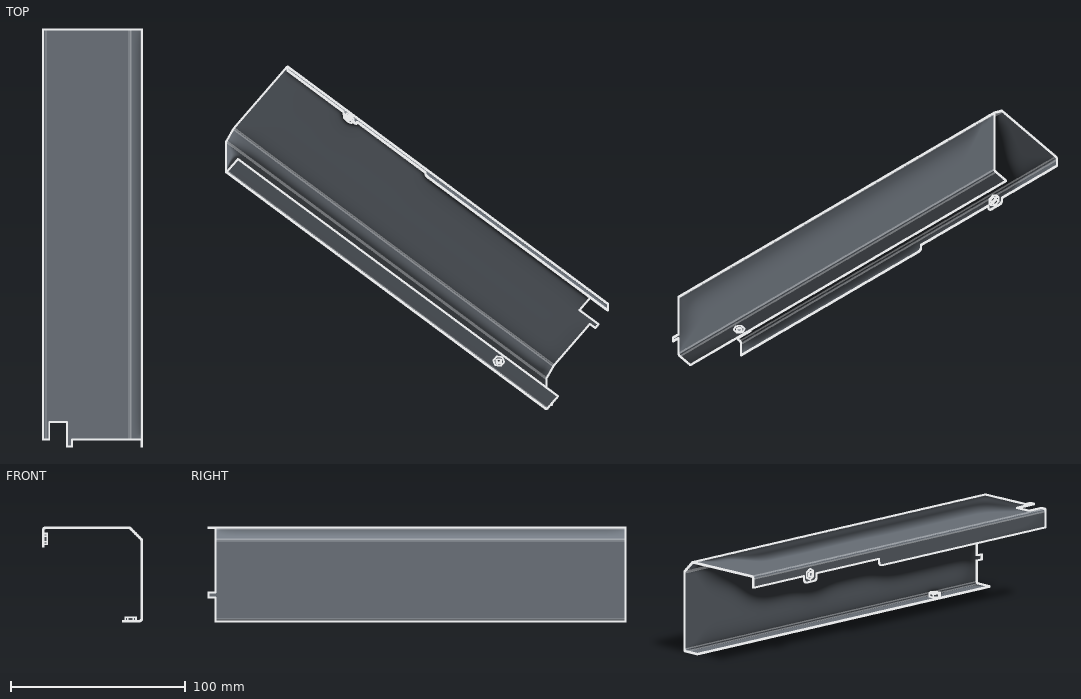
import cadquery as cq
import math

width = 56.8
height = 53.97
body_length = 235.0
sheet = 0.5
bend_radius = 1.5
chamfer_leg = 6.95
lip_depth = 11.0

tab_length = 4.0
tab_width = 3.0
tab_start = 13.7
notch_width = 10.0
notch_depth = 10.0

relief_length = 101.2
relief_lip_depth = 6.8
ear_width = 10.0
ear_corner_radius = 2.0

screw_diameter = 3.0
nut_sides = 6
nut_across_flats = 5.5
nut_height = 2.0
screw_edge_distance = 6.6
ear_screw_from_rear = 45.9
base_screw_from_front = 40.0

nut_across_corners = nut_across_flats / math.cos(math.pi / nut_sides)
ear_screw_y = body_length - ear_screw_from_rear


def box(x_range, y_range, z_range):
    """Axis-aligned box spanning the given (low, high) ranges."""
    spans = (x_range, y_range, z_range)
    size = [high - low for low, high in spans]
    corner = tuple(low for low, high in spans)
    return cq.Workplane("XY").box(*size, centered=False).translate(corner)


def bent_envelope(inset):
    """Solid bounded by the folded sheet, with its faces moved inwards by inset."""
    leg = chamfer_leg - inset * (2 - math.sqrt(2))
    right = width - inset
    top = height - inset
    return (
        cq.Workplane("XZ")
        .moveTo(inset, inset)
        .lineTo(right, inset)
        .lineTo(right, top - leg)
        .lineTo(right - leg, top)
        .lineTo(inset, top)
        .close()
        .extrude(-body_length)
        .edges("|Y")
        .fillet(bend_radius - inset)
    )


def folded_sheet():
    """Top panel, sloped strip, side wall and two lips as one bent sheet."""
    shell = bent_envelope(0).cut(bent_envelope(sheet))
    lip_end_z = height - lip_depth
    lip_end_x = width - lip_depth
    along = (0, body_length)
    open_side = box((0, width / 2), along, (0, lip_end_z))
    open_base = box((0, lip_end_x), along, (0, height / 2))
    return shell.cut(open_side).cut(open_base)


def front_tabs():
    """Tabs extending the top panel and the side wall past the front end."""
    tab_span = (tab_start, tab_start + tab_width)
    along = (-tab_length, sheet)
    top_tab = box(tab_span, along, (height - sheet, height))
    wall_tab = box((width - sheet, width), along, tab_span)
    return top_tab.union(wall_tab)


def top_notch():
    """Rectangular notch in the top panel beside its tab."""
    return box((tab_start - notch_width, tab_start), (0, notch_depth), (height / 2, height))


def lip_relief(y_start, y_end):
    """Cutter that shortens the left lip between two stations."""
    z_range = (height - lip_depth, height - relief_lip_depth)
    return box((0, sheet), (y_start, y_end), z_range)


def rounded_lip_corners(part):
    """Round the lower corners of the ear and of the lip beside the relief."""
    lip_end_z = height - lip_depth
    relief_start = body_length - relief_length
    reach = ear_corner_radius / 2
    corner_zone = cq.selectors.BoxSelector(
        (-reach, relief_start - reach, lip_end_z - reach),
        (sheet + reach, ear_screw_y + ear_width / 2 + reach, lip_end_z + reach),
    )
    return part.edges(corner_zone).edges("|X").fillet(ear_corner_radius)


def add_nut(part, outer_face):
    """Fix a nut on the inner side of the sheet and run its bore through the sheet."""
    depth = sheet + nut_height
    nut = outer_face.polygon(nut_sides, nut_across_corners).extrude(depth)
    bore = outer_face.circle(screw_diameter / 2).extrude(depth)
    return part.union(nut).cut(bore)


part = folded_sheet().union(front_tabs()).cut(top_notch())

part = part.cut(lip_relief(body_length - relief_length, ear_screw_y - ear_width / 2))
part = part.cut(lip_relief(ear_screw_y + ear_width / 2, body_length))
part = rounded_lip_corners(part)

ear_plane = cq.Plane(
    origin=(0, ear_screw_y, height - screw_edge_distance), xDir=(0, 0, 1), normal=(1, 0, 0)
)
base_plane = cq.Plane(origin=(width - screw_edge_distance, base_screw_from_front, 0))
for plane in (ear_plane, base_plane):
    part = add_nut(part, cq.Workplane(plane))

result = part